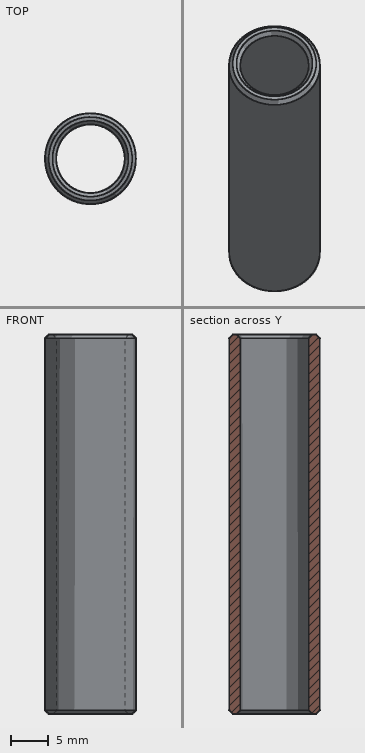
import cadquery as cq

length = 50.0
outer_diameter = 12.0
bore_diameter = 9.0
outer_chamfer = 0.5
bore_chamfer = 0.5

outer_radius = outer_diameter / 2
bore_radius = bore_diameter / 2


def chamfered_rod():
    """Solid cylinder along Z with both end rims chamfered."""
    rod = cq.Workplane("XY").circle(outer_radius).extrude(length)
    return rod.faces("<Z or >Z").chamfer(outer_chamfer)


def chamfered_bore():
    """Through-bore cutter that widens at a 45 degree chamfer at each end."""
    mouth_radius = bore_radius + bore_chamfer
    return (
        cq.Workplane("XZ")
        .moveTo(0, 0)
        .lineTo(mouth_radius, 0)
        .lineTo(bore_radius, bore_chamfer)
        .lineTo(bore_radius, length - bore_chamfer)
        .lineTo(mouth_radius, length)
        .lineTo(0, length)
        .close()
        .revolve(360, (0, 0, 0), (0, 1, 0))
    )


result = chamfered_rod().cut(chamfered_bore())